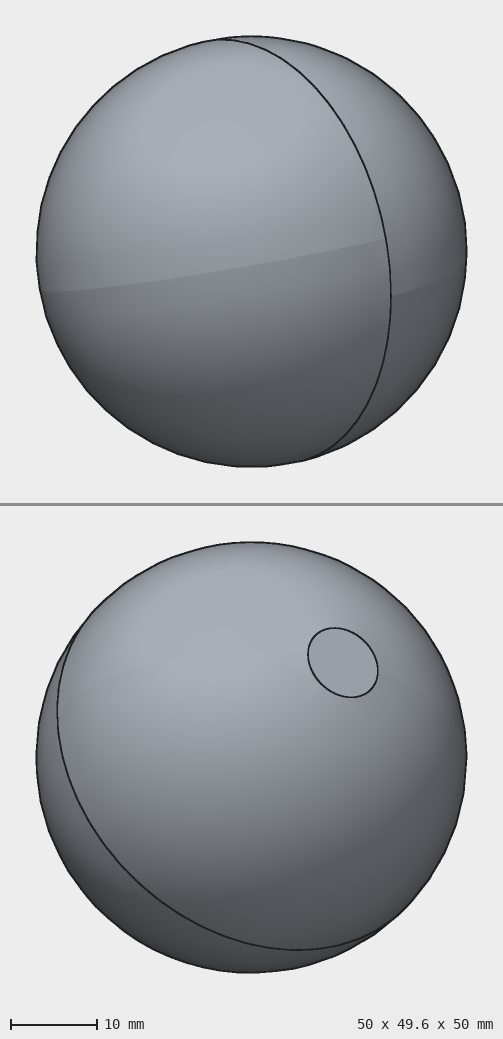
import cadquery as cq
import math

BALL_RADIUS = 25.0
FRONT_TILT = 15.6
PIN_RADIUS = 4.5
PIN_FRONT_DEPTH = BALL_RADIUS / 2

PIN_BACK_Y = math.sqrt(BALL_RADIUS**2 - PIN_RADIUS**2)

HOLE_BACK_Y = BALL_RADIUS + PIN_RADIUS

HOLE_SEAM_ANGLE = 45.0

DIAGONAL = BALL_RADIUS * math.sqrt(0.5)


def make_pin():
    """Straight pin along Y, from inside the front half to the back surface."""
    return (
        cq.Workplane("XZ", origin=(0, PIN_BACK_Y, 0))
        .circle(PIN_RADIUS)
        .extrude(PIN_BACK_Y + PIN_FRONT_DEPTH)
    )


def make_hole():
    """Pin hole: blind in the front half, open through the back half."""
    return (
        cq.Workplane("XZ", origin=(0, HOLE_BACK_Y, 0))
        .circle(PIN_RADIUS)
        .extrude(HOLE_BACK_Y + PIN_FRONT_DEPTH)
        .rotate((0, 0, 0), (0, 1, 0), HOLE_SEAM_ANGLE)
    )


def make_half_ball():
    """Half ball on the +Y side; its two quarter arcs meet at an equator line.

    The faces above and below the equator are kept separate, here and in the later cuts.
    """
    return (
        cq.Workplane("XZ")
        .moveTo(0, -BALL_RADIUS)
        .threePointArc((DIAGONAL, -DIAGONAL), (BALL_RADIUS, 0))
        .threePointArc((DIAGONAL, DIAGONAL), (0, BALL_RADIUS))
        .close()
        .revolve(180, (0, 0, 0), (0, 1, 0), clean=False)
    )


def make_back_half():
    """Half ball on the +Y side with the pin hole through it."""
    return make_half_ball().cut(make_hole(), clean=False)


def make_front_half():
    """Half ball turned to the -Y side and tilted about the pin."""
    half = make_half_ball().rotate((0, 0, 0), (0, 0, 1), 180)
    tilted = half.rotate((0, 0, 0), (0, 1, 0), -FRONT_TILT)
    return tilted.cut(make_hole(), clean=False)


back_half = make_back_half()
front_half = make_front_half()
pin = make_pin()

result = cq.Compound.makeCompound([
    back_half.solids().val(),
    front_half.solids().val(),
    pin.val(),
])